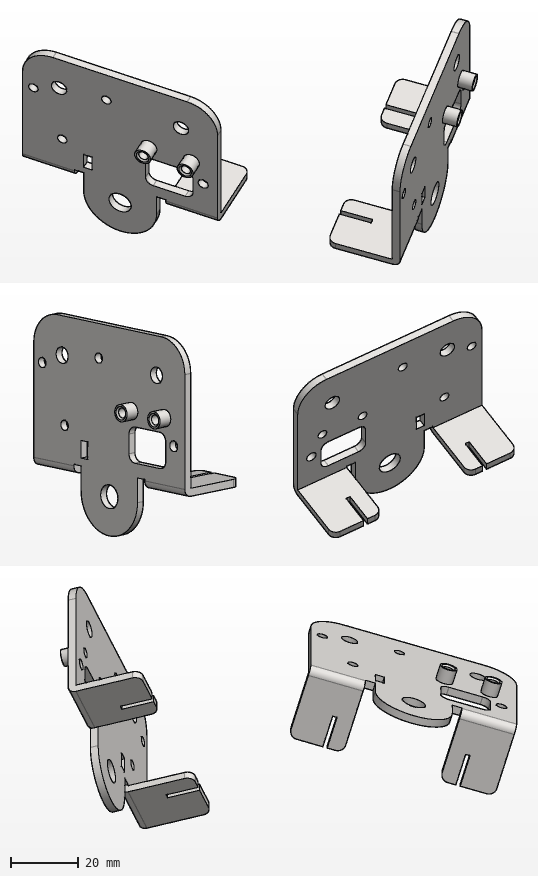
import cadquery as cq

width = 64.0
thickness = 2.5
lug_radius = 12.0
top_z = width - lug_radius
top_corner_radius = 10.0
lug_hole_diameter = 7.2

flange_width = 17.0
flange_end_y = 22.8
flange_bottom_z = 4.6
flange_corner_radius = 2.5
flange_slot_x = 20.7
flange_slot_width = 1.35
flange_slot_depth = 10.05
relief_top_z = 7.55

large_hole_diameter = 5.0
large_hole_x = 20.0
large_hole_z = 40.0
large_holes = [(-large_hole_x, large_hole_z), (large_hole_x, large_hole_z)]
small_hole_diameter = 3.1
small_holes = [(-28.4, 36.5), (-4.5, 41.5), (-18.95, 18.8)]
side_hole_diameter = 3.25
side_hole = (27.25, 19.5)
window_center = (16.1, 17.35)
window_width = 15.5
window_height = 11.0
window_corner_radius = 2.5
slot_center = (-10.55, 12.6)
slot_width = 2.75
slot_height = 5.4

boss_centers = [(9.5, 27.5), (23.4, 27.5)]
boss_diameter = 5.25
boss_length = 4.5
boss_bore_diameter = 3.0
boss_mouth_diameter = 4.1


def front_plane(y=0):
    """Sketch plane with local axes X and Z, extruding toward -Y."""
    return cq.Workplane("XZ", origin=(0, y, 0))


def through_holes(centers, diameter):
    return front_plane(thickness).pushPoints(centers).circle(diameter / 2).extrude(thickness)


def opening(center, opening_width, opening_height):
    return front_plane(thickness).center(*center).rect(opening_width, opening_height).extrude(thickness)


def make_plate():
    half_width = width / 2
    inner_fold_z = flange_bottom_z + thickness
    relief_x = half_width - flange_width
    plate = (
        front_plane(thickness)
        .moveTo(-half_width, inner_fold_z)
        .lineTo(-relief_x, inner_fold_z)
        .lineTo(-relief_x, relief_top_z)
        .lineTo(-lug_radius, relief_top_z)
        .lineTo(-lug_radius, 0)
        .threePointArc((0, -lug_radius), (lug_radius, 0))
        .lineTo(lug_radius, relief_top_z)
        .lineTo(relief_x, relief_top_z)
        .lineTo(relief_x, inner_fold_z)
        .lineTo(half_width, inner_fold_z)
        .lineTo(half_width, top_z)
        .lineTo(-half_width, top_z)
        .close()
        .extrude(thickness)
    )
    return plate.edges("|Y and >Z").fillet(top_corner_radius)


def make_flange(side):
    """Flange at the left (side = -1) or right (side = 1) end, with its rounded fold."""
    center_x = side * (width - flange_width) / 2
    flange = (
        cq.Workplane("XY", origin=(center_x, 0, flange_bottom_z))
        .rect(flange_width, flange_end_y)
        .extrude(thickness)
        .translate((0, flange_end_y / 2, 0))
    )
    flange = flange.edges("|Z and >Y").fillet(flange_corner_radius)
    fold_block = cq.Workplane("XY").box(flange_width, thickness, thickness, centered=(True, False, False))
    fold_block = fold_block.translate((center_x, 0, flange_bottom_z))
    fold = (
        cq.Workplane("YZ", origin=(center_x - flange_width / 2, thickness, flange_bottom_z + thickness))
        .circle(thickness)
        .extrude(flange_width)
        .intersect(fold_block)
    )
    flange = flange.cut(fold_block).union(fold)
    slot_y = flange_end_y - flange_slot_depth / 2
    slot = (
        cq.Workplane("XY", origin=(side * flange_slot_x, slot_y, flange_bottom_z))
        .rect(flange_slot_width, flange_slot_depth)
        .extrude(thickness)
    )
    return flange.cut(slot)


def make_bosses():
    return front_plane().pushPoints(boss_centers).circle(boss_diameter / 2).extrude(boss_length)


def make_boss_bores():
    """Bores through bosses and plate, with a 45 degree countersink at each mouth."""
    bores = (
        front_plane(thickness)
        .pushPoints(boss_centers)
        .circle(boss_bore_diameter / 2)
        .extrude(thickness + boss_length)
    )
    sink_depth = (boss_mouth_diameter - boss_bore_diameter) / 2
    for x, z in boss_centers:
        sink = cq.Solid.makeCone(
            boss_mouth_diameter / 2,
            boss_bore_diameter / 2,
            sink_depth,
            pnt=cq.Vector(x, -boss_length, z),
            dir=cq.Vector(0, 1, 0),
        )
        bores = bores.union(cq.Workplane(sink))
    return bores


window = opening(window_center, window_width, window_height).edges("|Y").fillet(window_corner_radius)

result = (
    make_plate()
    .union(make_flange(-1))
    .union(make_flange(1))
    .union(make_bosses())
    .cut(make_boss_bores())
    .cut(through_holes([(0, 0)], lug_hole_diameter))
    .cut(through_holes(large_holes, large_hole_diameter))
    .cut(through_holes(small_holes, small_hole_diameter))
    .cut(through_holes([side_hole], side_hole_diameter))
    .cut(window)
    .cut(opening(slot_center, slot_width, slot_height))
)